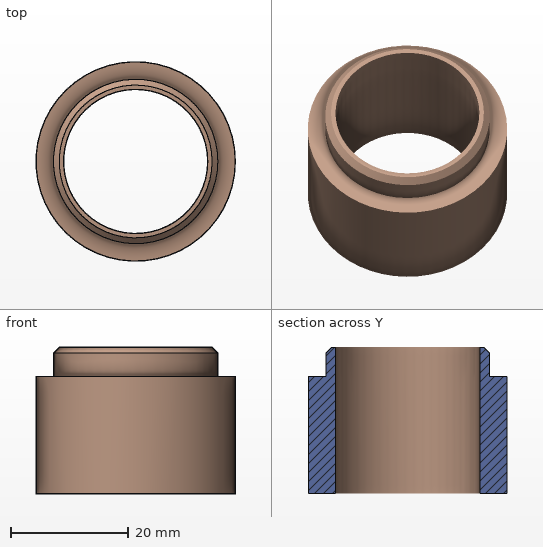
import cadquery as cq

body_diameter = 34.0
spigot_diameter = 28.0
bore_diameter = 24.5
total_height = 25.0
body_height = 20.0
chamfer_size = 1.0

spigot_height = total_height - body_height


def make_body():
    """Plain cylindrical body standing on the XY plane."""
    return cq.Workplane("XY").circle(body_diameter / 2).extrude(body_height)


def make_spigot():
    """Narrower collar on top of the body, with a chamfered lead-in edge."""
    spigot = (
        cq.Workplane("XY")
        .workplane(offset=body_height)
        .circle(spigot_diameter / 2)
        .extrude(spigot_height)
    )
    return spigot.faces(">Z").edges().chamfer(chamfer_size)


def make_bore():
    """Straight hole through the full height."""
    return cq.Workplane("XY").circle(bore_diameter / 2).extrude(total_height)


result = make_body().union(make_spigot()).cut(make_bore())